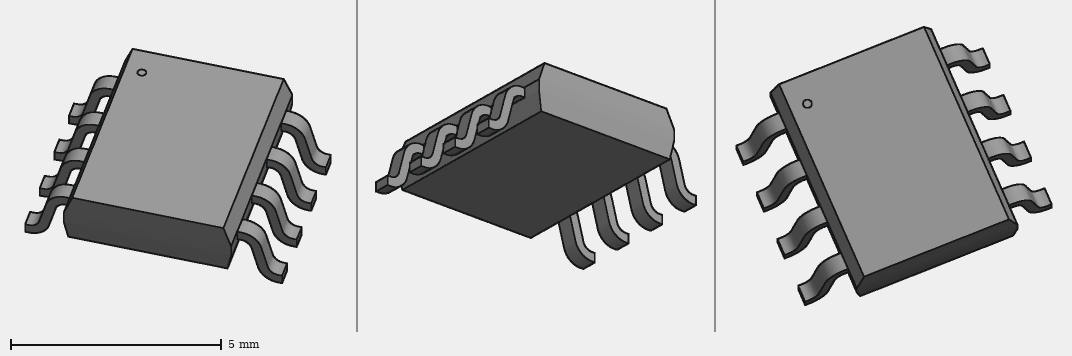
import cadquery as cq
import math

overall_span = 6.35
overall_height = 1.96

body_width = 4.14
body_length = 5.33
body_bottom = 0.635
band_height = 0.29
band_middle = (body_bottom + overall_height) / 2
band_bottom = band_middle - band_height / 2
band_top = band_middle + band_height / 2
top_side_inset = 0.205
bottom_side_inset = 0.1
end_inset = 0.045

leads_per_side = 4
lead_pitch = 1.27
lead_width = 0.44
lead_thickness = 0.255
lead_inner_radius = 0.26
lead_slope = math.radians(75)

marker_diameter = 0.21
marker_depth = 0.05
marker_x = -1.435

lead_rows = [(row - (leads_per_side - 1) / 2) * lead_pitch for row in range(leads_per_side)]
marker_y = lead_rows[-1]


def make_tier(base_z, top_z, base_size, top_size):
    """Solid with flat sides joining two centred rectangles."""
    return (
        cq.Workplane("XY", origin=(0, 0, base_z))
        .rect(*base_size)
        .workplane(offset=top_z - base_z)
        .rect(*top_size)
        .loft(ruled=True)
    )


def make_marker():
    return (
        cq.Workplane("XY", origin=(marker_x, marker_y, overall_height))
        .circle(marker_diameter / 2)
        .extrude(-marker_depth)
    )


def make_housing(marker):
    """Three stacked tiers, with a recess in the top that fits the marker."""
    band_size = (body_width, body_length)
    bottom_size = (body_width - 2 * bottom_side_inset, body_length - 2 * end_inset)
    top_size = (body_width - 2 * top_side_inset, body_length - 2 * end_inset)

    lower = make_tier(body_bottom, band_bottom, bottom_size, band_size)
    band = make_tier(band_bottom, band_top, band_size, band_size)
    upper = make_tier(band_top, overall_height, band_size, top_size)
    return lower.union(band).union(upper).cut(marker)


def make_left_lead(row_y):
    """Rectangular strip swept from the foot tip, up the slope, to the housing side."""
    foot_x = -overall_span / 2
    foot_z = lead_thickness / 2
    body_x = -body_width / 2

    radius = lead_inner_radius + lead_thickness / 2
    bend_run = radius * math.sin(lead_slope)
    bend_rise = radius * (1 - math.cos(lead_slope))
    slope_rise = band_middle - foot_z - 2 * bend_rise
    slope_run = slope_rise / math.tan(lead_slope)
    flat = (body_x - foot_x - 2 * bend_run - slope_run) / 2

    foot_bend_x = foot_x + flat
    shoulder_bend_x = body_x - flat
    slope_bottom = (foot_bend_x + bend_run, foot_z + bend_rise)
    slope_top = (shoulder_bend_x - bend_run, band_middle - bend_rise)

    centreline = (
        cq.Workplane("XZ", origin=(0, row_y, 0))
        .moveTo(foot_x, foot_z)
        .lineTo(foot_bend_x, foot_z)
        .radiusArc(slope_bottom, -radius)
        .lineTo(*slope_top)
        .radiusArc((shoulder_bend_x, band_middle), radius)
        .lineTo(body_x, band_middle)
    )
    return (
        cq.Workplane("YZ", origin=(foot_x, row_y, foot_z))
        .rect(lead_width, lead_thickness)
        .sweep(centreline)
    )


marker = make_marker()
housing = make_housing(marker)

leads = []
for row_y in lead_rows:
    left_lead = make_left_lead(row_y)
    right_lead = left_lead.rotate((0, row_y, 0), (0, row_y, 1), 180)
    leads.append(left_lead.val())
    leads.append(right_lead.val())

result = cq.Compound.makeCompound([housing.val(), marker.val(), *leads])